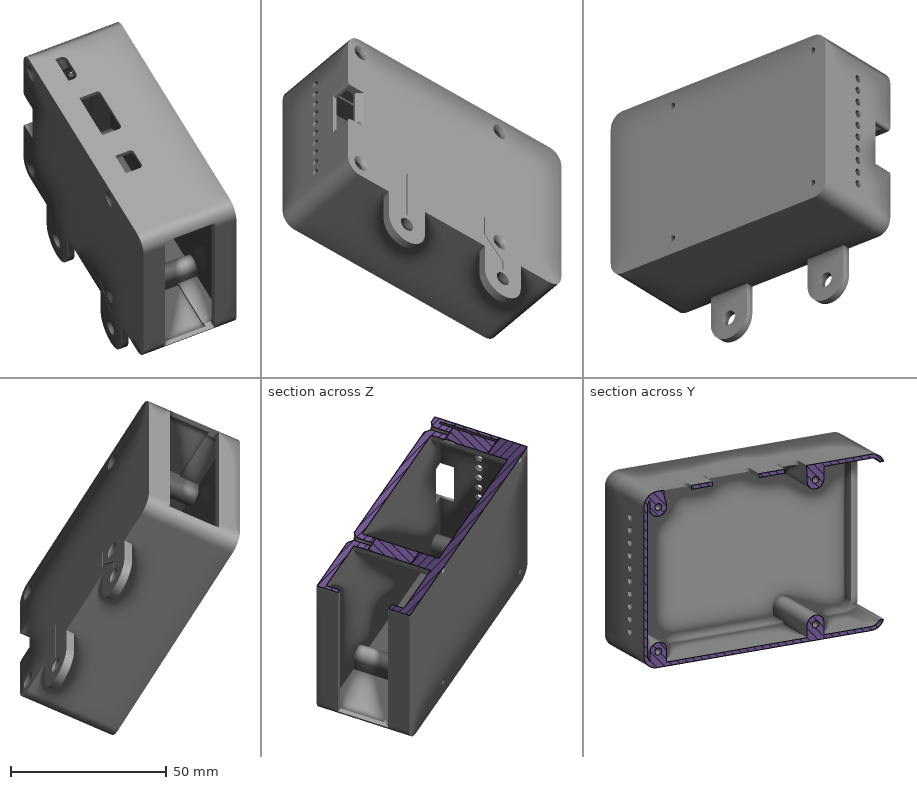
import cadquery as cq
import math


length = 89.0
height = 60.0
corner_radius = 5.0
plate_depth = 7.65
frame_depth = 15.5
cover_depth = 10.1
frame_start = plate_depth
cover_start = frame_start + frame_depth

wall = 1.5
cover_wall = 2.5
plate_floor = 2.8
cover_floor = 3.3

screw_inset = 5.4
screw_spacing_x = 58.0
screw_spacing_z = 49.0
screw_low_z = (height - screw_spacing_z) / 2
screw_points = [
    (screw_inset + i * screw_spacing_x, screw_low_z + j * screw_spacing_z)
    for i in range(2)
    for j in range(2)
]
post_diameter = 6.4
thread_hole = 2.2
clearance_hole = 2.7
sink_diameter = 5.6
sink_angle = 90

tab_width = 14.95
tab_radius = tab_width / 2
tab_hole = 5.0
tab_spacing = 40.05
tab_drop = 10.1
left_tab_x = 24.6
right_tab_x = left_tab_x + tab_spacing

groove_width = 0.4
groove_depth = 0.5
groove_top_z = 12.5
groove_low_z = -6.0
jog_x = 56.9
jog_top_z = 5.2
jog_low_z = jog_top_z - (right_tab_x - jog_x)

slot_width = 15.0
slot_low_z = (height - slot_width) / 2
slot_reach = 4.5
slot_bevel = 2.0
slot_round = 1.0

port_windows = [
    (7.6, 10.0, 3.6, 2.0),
    (25.45, 17.1, 7.1, 1.25),
    (52.1, 8.0, 6.1, 1.25),
]

vent_count = 10
vent_sides = 6
vent_diameter = 2.8
vent_row_length = 38.9
vent_pitch = vent_row_length / (vent_count - 1)
vent_y = 16.55

opening_margin = 3.3
opening_back_y = 25.5


def block(x_min, x_max, y_min, y_max, z_min, z_max):
    size = (x_max - x_min, y_max - y_min, z_max - z_min)
    return cq.Workplane("XY").box(*size, centered=False).translate((x_min, y_min, z_min))


def sketch_at(y):
    """Workplane at depth y, with X right and Z up; extrude with a negative length to go deeper."""
    return cq.Workplane("XZ", origin=(0, y, 0))


def rounded_layer(start, depth, inset=0.0):
    """Slab with the case outline, moved inwards by inset."""
    return (
        sketch_at(start)
        .center(length / 2, height / 2)
        .rect(length - 2 * inset, height - 2 * inset)
        .extrude(-depth)
        .edges("|Y")
        .fillet(corner_radius - inset)
    )


def cylinders(points, diameter, start, depth):
    return sketch_at(start).pushPoints(points).circle(diameter / 2).extrude(-depth)


def screw_posts(start, depth):
    """Screw posts, round towards the middle and joined to the nearest wall."""
    posts = cylinders(screw_points, post_diameter, start, depth)
    for x, z in screw_points:
        left, right = x - post_diameter / 2, x + post_diameter / 2
        wall_z = 0 if z < height / 2 else height
        posts = posts.union(block(left, right, start, start + depth, min(z, wall_z), max(z, wall_z)))
    return posts.intersect(rounded_layer(start, depth))


def connector_opening():
    """Opening through the right wall, shared by the frame and the cover."""
    return block(
        length - corner_radius,
        length,
        frame_start,
        opening_back_y,
        opening_margin,
        height - opening_margin,
    )


def mounting_tab(x):
    tab = block(x - tab_radius, x + tab_radius, 0, plate_floor, -tab_drop, tab_radius)
    tab = tab.union(cylinders([(x, -tab_drop)], tab_width, 0, plate_floor))
    return tab.cut(cylinders([(x, -tab_drop)], tab_hole, 0, plate_floor))


def straight_groove():
    half = groove_width / 2
    return block(left_tab_x - half, left_tab_x + half, 0, groove_depth, groove_low_z, groove_top_z)


def bent_groove():
    center_line = [
        (jog_x, groove_top_z),
        (jog_x, jog_top_z),
        (right_tab_x, jog_low_z),
        (right_tab_x, groove_low_z),
    ]
    half = groove_width / 2
    miter = half * math.tan(math.pi / 8)
    shifts = [0, miter, miter, 0]
    left_side = [(x - half, z - shift) for (x, z), shift in zip(center_line, shifts)]
    right_side = [(x + half, z + shift) for (x, z), shift in zip(center_line, shifts)]
    right_side.reverse()
    return sketch_at(0).polyline(left_side + right_side).close().extrude(-groove_depth)


def card_slot():
    """Slot open to the left and front, bevelled at its inner end and flared at the outer side."""
    slot_top_z = slot_low_z + slot_width
    profile = [
        (0, 0),
        (slot_reach + slot_bevel, 0),
        (slot_reach, slot_bevel),
        (slot_reach, plate_depth),
        (0, plate_depth),
    ]
    slot = cq.Workplane("XY", origin=(0, 0, slot_low_z)).polyline(profile).close().extrude(slot_width)
    flare = block(0, slot_round, 0, plate_depth, slot_low_z - slot_round, slot_top_z + slot_round)
    round_centers = [(slot_round, slot_low_z - slot_round), (slot_round, slot_top_z + slot_round)]
    return slot.union(flare.cut(cylinders(round_centers, 2 * slot_round, 0, plate_depth)))


def countersinks():
    """Cones that narrow from the front face down to the clearance holes."""
    cone_depth = (sink_diameter - clearance_hole) / 2 / math.tan(math.radians(sink_angle / 2))
    circles = sketch_at(0).pushPoints(screw_points).circle(sink_diameter / 2)
    return circles.extrude(-cone_depth, taper=sink_angle / 2)


def front_plate():
    cavity_depth = plate_depth - plate_floor
    plate = rounded_layer(0, plate_depth)
    plate = plate.cut(rounded_layer(plate_floor, cavity_depth, wall))
    plate = plate.union(screw_posts(plate_floor, cavity_depth))
    for x in (left_tab_x, right_tab_x):
        plate = plate.union(mounting_tab(x))
    plate = plate.cut(cylinders(screw_points, clearance_hole, 0, plate_depth))
    plate = plate.cut(countersinks())
    return plate.cut(straight_groove()).cut(bent_groove()).cut(card_slot())


def port_window(left, width, depth, radius):
    window = block(left, left + width, frame_start - depth, frame_start + depth, height - wall, height)
    return window.edges("|Z").fillet(radius)


def post_relief():
    """Wedge that bevels the screw post reaching into the leftmost port window."""
    left, _, depth, _ = port_windows[0]
    post_x, post_z = screw_inset + post_diameter / 2, screw_low_z + screw_spacing_z
    corners = [(left, height - wall), (post_x, height - wall), (post_x, post_z)]
    return sketch_at(frame_start).polyline(corners).close().extrude(-depth)


def vents():
    """Hexagons with flat upper and lower sides, in a row along Z."""
    first_z = (height - vent_row_length) / 2
    centers = [(vent_y, first_z + i * vent_pitch) for i in range(vent_count)]
    return cq.Workplane("YZ").pushPoints(centers).polygon(vent_sides, vent_diameter).extrude(wall)


def middle_frame():
    frame = rounded_layer(frame_start, frame_depth)
    frame = frame.cut(rounded_layer(frame_start, frame_depth, wall))
    frame = frame.union(screw_posts(frame_start, frame_depth))
    frame = frame.cut(cylinders(screw_points, thread_hole, frame_start, frame_depth))
    for window in port_windows:
        frame = frame.cut(port_window(*window))
    frame = frame.cut(post_relief())
    frame = frame.cut(vents())
    return frame.cut(connector_opening())


def back_cover():
    cavity_depth = cover_depth - cover_floor
    cover = rounded_layer(cover_start, cover_depth)
    cover = cover.cut(rounded_layer(cover_start, cavity_depth, cover_wall))
    cover = cover.union(screw_posts(cover_start, cavity_depth))
    cover = cover.cut(cylinders(screw_points, thread_hole, cover_start, cover_depth))
    return cover.cut(connector_opening())


result = cq.Compound.makeCompound([front_plate().val(), middle_frame().val(), back_cover().val()])